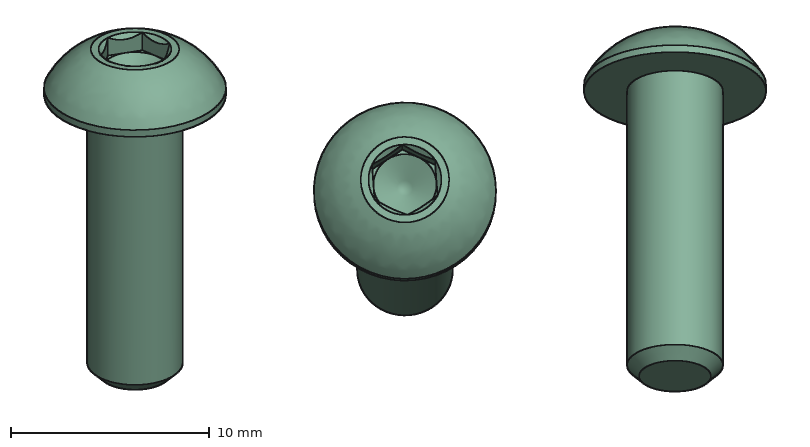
import cadquery as cq
import math

total_length = 18.44
head_diameter = 9.16
head_height = 2.56
rim_height = 0.39
crown_diameter = 4.45
dome_bulge = 0.28

shank_diameter = 4.83
tip_diameter = 3.61
tip_height = 0.6

hex_across_flats = 3.17
hex_depth = 1.01
socket_drill_angle = 120.0
socket_mouth_angle = 90.0

hex_across_corners = hex_across_flats / math.cos(math.pi / 6)
shank_length = total_length - head_height


def cone(base_diameter, included_angle, base_z):
    """Cone with its base at base_z, pointing down the screw axis."""
    radius = base_diameter / 2
    height = radius / math.tan(math.radians(included_angle / 2))
    return cq.Workplane("XY").add(
        cq.Solid.makeCone(radius, 0, height, cq.Vector(0, 0, base_z), cq.Vector(0, 0, -1))
    )


def screw_body():
    """Domed head and chamfered shank, revolved from one half profile."""
    head_radius = head_diameter / 2
    crown_radius = crown_diameter / 2
    chord_run = head_radius - crown_radius
    chord_rise = head_height - rim_height
    chord = math.hypot(chord_run, chord_rise)
    dome_middle = (
        (head_radius + crown_radius) / 2 + dome_bulge * chord_rise / chord,
        (rim_height + head_height) / 2 + dome_bulge * chord_run / chord,
    )
    return (
        cq.Workplane("XZ")
        .moveTo(0, -shank_length)
        .lineTo(tip_diameter / 2, -shank_length)
        .lineTo(shank_diameter / 2, tip_height - shank_length)
        .lineTo(shank_diameter / 2, 0)
        .lineTo(head_radius, 0)
        .lineTo(head_radius, rim_height)
        .threePointArc(dome_middle, (crown_radius, head_height))
        .lineTo(0, head_height)
        .close()
        .revolve(360, (0, 0), (0, 1))
    )


def hex_socket():
    """Hexagon with two flats facing X, a conical bottom and a countersunk mouth."""
    socket_floor = head_height - hex_depth
    hexagon = (
        cq.Workplane("XY", origin=(0, 0, socket_floor))
        .transformed(rotate=(0, 0, 30))
        .polygon(6, hex_across_corners)
        .extrude(hex_depth)
    )
    drill_point = cone(hex_across_flats, socket_drill_angle, socket_floor)
    mouth = cone(hex_across_corners, socket_mouth_angle, head_height)
    return hexagon.union(drill_point).union(mouth)


result = screw_body().cut(hex_socket())